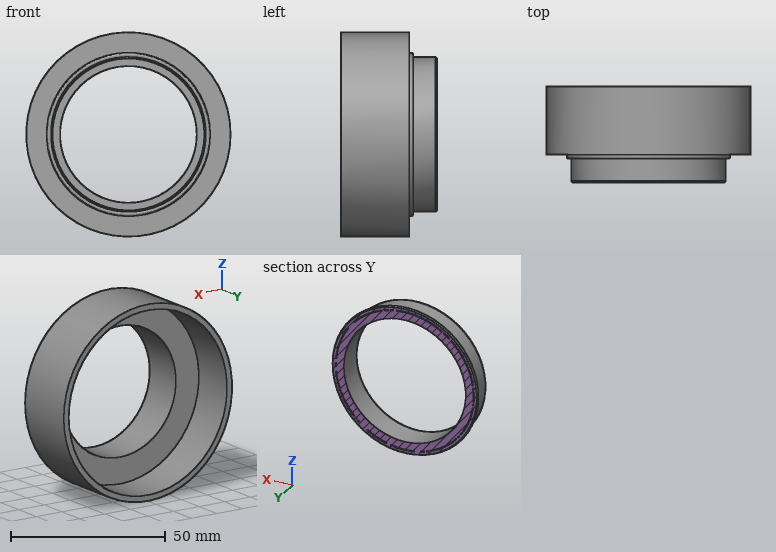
import cadquery as cq

body_diameter = 66.0
bore_diameter = 44.0
body_length = 22.05
rear_pocket_diameter = 62.0
front_wall_thickness = 6.0
rear_pocket_depth = body_length - front_wall_thickness

total_length = 31.0
spigot_diameter = 50.0
spigot_length = total_length - body_length
spigot_chamfer = 0.5

bead_section_diameter = 1.5
bead_protrusion = 1.3
bead_outer_diameter = 52.8


def cylinder_along_y(diameter, start, length):
    """Cylinder about the Y axis, running from Y = start toward +Y."""
    plane = cq.Workplane("XZ", origin=(0, start, 0))
    return plane.circle(diameter / 2).extrude(-length)


def corner_bead():
    """Ring of circular section, partly sunk into the body and spigot."""
    section_radius = bead_section_diameter / 2
    ring_radius = bead_outer_diameter / 2 - section_radius
    return (
        cq.Workplane("XY")
        .center(ring_radius, section_radius - bead_protrusion)
        .circle(section_radius)
        .revolve(360, (-ring_radius, 0), (-ring_radius, 1))
    )


body = cylinder_along_y(body_diameter, 0, body_length)
spigot = cylinder_along_y(spigot_diameter, -spigot_length, total_length)
spigot = spigot.faces("<Y").edges().chamfer(spigot_chamfer)
bore = cylinder_along_y(bore_diameter, -spigot_length, total_length)
rear_pocket = cylinder_along_y(rear_pocket_diameter, front_wall_thickness, rear_pocket_depth)

result = body.union(spigot).union(corner_bead()).cut(bore).cut(rear_pocket)